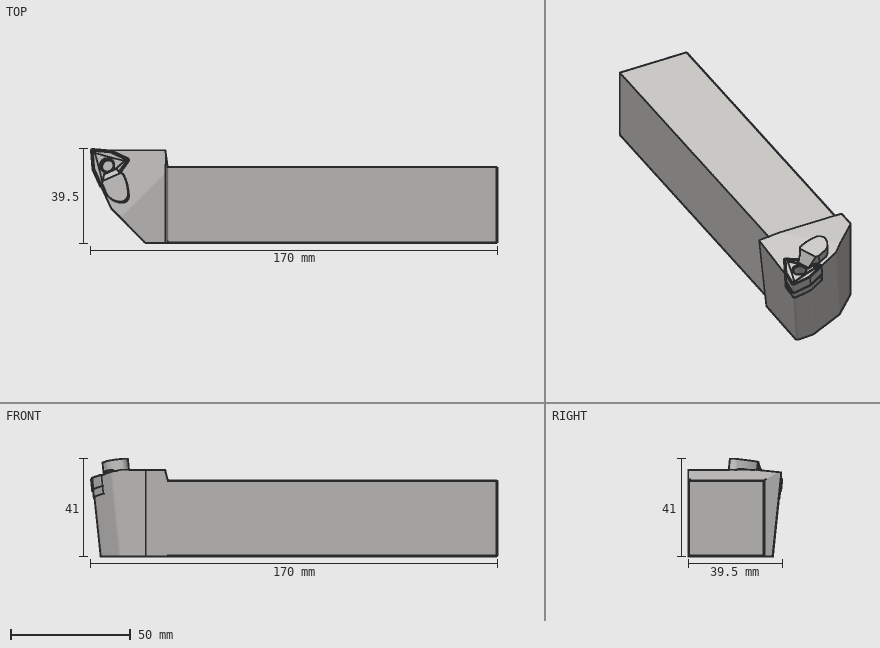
import cadquery as cq
import math

TOTAL_LENGTH = 170.0
SHANK_SIZE = 32.0
SHANK_CHAMFER = 0.5

TOTAL_WIDTH = 39.5
HEAD_HEIGHT = 36.2
CREST_OFFSET = 1.7
HEAD_END_X = 32.1
HEAD_END_SLANT = 1.0
STEP_RADIUS = 0.5
HEAD_TIP = (0.5, 39.0)
HEAD_KNEE = (1.0, 30.8)
HEAD_BEND = (8.7, 14.5)
TIP_RADIUS = 1.0
FLANK_RADIUS = 5.1
OVERRUN = 8.5

TILT = 6.0
INSERT_RISE = 0.2
TIP_DIRECTION = 135.0
SHARP_CORNER = 80.0
CORNER_SPACING = 120.0
INSCRIBED_DIAMETER = 12.8
CORNER_RADIUS = 0.8
INSERT_THICKNESS = 4.8
HOLE_DIAMETER = 5.1
HOLE_CHAMFER = 0.5
BEVEL_ANGLE = 45.0

BREAKER_LAND = 0.5
BREAKER_DEPTH = 0.3
ARM_TIP_RADIUS = 7.5
ARM_ROOT_RADIUS = 4.5
ARM_ROOT_ANGLE = 25.0

SHIM_THICKNESS = 3.2
SHIM_INSET = 0.3
CLAMP_HEIGHT = 5.1
NOSE_DIRECTION = 24.0
NOSE_SETBACK = 3.4
RELIEF_HEIGHT = 1.2

NOSE_LEFT = (5.6, 29.5)
SIDE_BEND = (5.5, 24.0)
ROUND_START = (7.1, 19.9)
ROUND_MIDDLE = (9.7, 17.7)
ROUND_END = (14.0, 16.8)
HEEL_MIDDLE = (15.6, 18.0)
HEEL_END = (16.2, 20.7)
BACK_MIDDLE = (15.5, 24.8)
BACK_END = (14.0, 28.5)
NOSE_SHOULDER = (12.2, 29.2)
NOSE_RIGHT = (10.4, 31.6)

NOSE_FRONT = -2.5
FOOT_BACK = -3.0
RELIEF_FRONT = -5.1
RELIEF_BACK = -13.6
HEEL_FRONT = -16.3

inscribed_radius = INSCRIBED_DIAMETER / 2
half_corner = math.radians(SHARP_CORNER / 2)
corner_arc_reach = (inscribed_radius - CORNER_RADIUS) / math.sin(half_corner)
slope = math.tan(math.radians(TILT))

rake_plane = cq.Plane(origin=(0, 0, 0), xDir=(1, 0, slope), normal=(-slope, slope, 1))


def corner_reach(direction):
    """How far the rounded cutting corner reaches from the insert axis in a direction."""
    along_x = direction.dot(rake_plane.xDir)
    along_y = direction.dot(rake_plane.yDir)
    tip = math.radians(TIP_DIRECTION)
    arc_center = corner_arc_reach * (along_x * math.cos(tip) + along_y * math.sin(tip))
    arc = CORNER_RADIUS * math.hypot(along_x, along_y)
    return arc_center + arc + INSERT_RISE * direction.dot(rake_plane.zDir)


insert_x = corner_reach(cq.Vector(-1, 0, 0))
insert_y = TOTAL_WIDTH - corner_reach(cq.Vector(0, 1, 0))
insert_base_z = HEAD_HEIGHT + slope * (insert_x - insert_y - CREST_OFFSET)


def tilted(height=0.0, turn=0.0):
    """Workplane square to the insert axis, at a height above the tilted top of the head."""
    plane = cq.Plane((insert_x, insert_y, insert_base_z), rake_plane.xDir, rake_plane.zDir)
    return cq.Workplane(plane.rotated((0, 0, turn))).workplane(offset=height)


def local(x, y):
    """A place in plan as an offset from the insert axis."""
    return (x - insert_x, y - insert_y)


def polar(radius, degrees, center=(0, 0)):
    angle = math.radians(degrees)
    return (center[0] + radius * math.cos(angle), center[1] + radius * math.sin(angle))


def rounded_corner(side_distance, corner_angle, radius, direction):
    """Start, middle and end of the arc that rounds a trigon corner."""
    reach = (side_distance - radius) / math.sin(math.radians(corner_angle / 2))
    center = polar(reach, direction)
    arc_half_angle = 90 - corner_angle / 2
    return [polar(radius, direction + turn * arc_half_angle, center) for turn in (-1, 0, 1)]


def trigon(height, thickness, inset=0.0, taper=0.0, blunt_radius=0.0):
    """Trigon plate below a height, its outline moved inwards by inset."""
    side_distance = inscribed_radius - inset
    sharp_radius = CORNER_RADIUS - inset / 2
    blunt_corner = 2 * SHARP_CORNER
    outline = tilted(height)
    for corner in range(3):
        direction = TIP_DIRECTION + CORNER_SPACING * corner
        start, middle, end = rounded_corner(side_distance, SHARP_CORNER, sharp_radius, direction)
        outline = outline.moveTo(*start) if corner == 0 else outline.lineTo(*start)
        outline = outline.threePointArc(middle, end)
        direction += CORNER_SPACING / 2
        start, middle, end = rounded_corner(side_distance, blunt_corner, blunt_radius, direction)
        outline = outline.lineTo(*start)
        if blunt_radius > 0:
            outline = outline.threePointArc(middle, end)
    return outline.close().extrude(-thickness, taper=taper)


def plateau():
    """Star-shaped centre of the chip breaker, level with the cutting edges."""
    points = []
    for corner in range(3):
        direction = TIP_DIRECTION + CORNER_SPACING * corner
        points.append(polar(ARM_ROOT_RADIUS, direction - ARM_ROOT_ANGLE))
        points.append(polar(ARM_TIP_RADIUS, direction))
        points.append(polar(ARM_ROOT_RADIUS, direction + ARM_ROOT_ANGLE))
    return tilted(INSERT_RISE - BREAKER_DEPTH).polyline(points).close().extrude(BREAKER_DEPTH)


def make_insert():
    groove = trigon(INSERT_RISE, BREAKER_DEPTH, BREAKER_LAND, taper=BEVEL_ANGLE).cut(plateau())
    hole = tilted(INSERT_RISE).circle(HOLE_DIAMETER / 2).extrude(-INSERT_THICKNESS)
    countersink = (
        tilted(INSERT_RISE)
        .circle(HOLE_DIAMETER / 2 + HOLE_CHAMFER)
        .extrude(-HOLE_CHAMFER, taper=BEVEL_ANGLE)
    )
    return trigon(INSERT_RISE, INSERT_THICKNESS).cut(groove).cut(hole).cut(countersink)


def make_shank():
    start_x = HEAD_BEND[0] + HEAD_BEND[1]
    bar = cq.Workplane("XY").box(TOTAL_LENGTH - start_x, SHANK_SIZE, SHANK_SIZE, centered=False)
    bar = bar.translate((start_x, 0, 0))
    return bar.edges("(|X and <Y) or >X").chamfer(SHANK_CHAMFER)


def make_head():
    """Block with flanks parallel to the insert axis, trimmed to the upright faces and flat top."""
    flank_depth = HEAD_HEIGHT + OVERRUN
    foot_y = -OVERRUN
    foot_x = HEAD_BEND[0] + HEAD_BEND[1] - foot_y
    far_x = HEAD_END_X + OVERRUN
    outline = [HEAD_TIP, HEAD_KNEE, HEAD_BEND, (foot_x, foot_y), (far_x, foot_y), (far_x, HEAD_TIP[1])]
    flanks = tilted().polyline([local(*point) for point in outline]).close()
    flanks = flanks.extrude(-flank_depth)
    insert_axis = cq.selectors.ParallelDirSelector(rake_plane.zDir)
    for corner, radius in ((HEAD_TIP, TIP_RADIUS), (HEAD_KNEE, FLANK_RADIUS), (HEAD_BEND, FLANK_RADIUS)):
        corner_middle = tilted().plane.toWorldCoords((*local(*corner), -flank_depth / 2))
        nearest = cq.selectors.NearestToPointSelector(corner_middle.toTuple())
        flanks = flanks.edges(insert_axis).edges(nearest).fillet(radius)
    upright = (
        cq.Workplane("XY")
        .polyline(
            [
                (-OVERRUN, 0),
                (HEAD_END_X, 0),
                (HEAD_END_X, SHANK_SIZE),
                (HEAD_END_X - HEAD_END_SLANT, TOTAL_WIDTH),
                (-OVERRUN, TOTAL_WIDTH),
            ]
        )
        .close()
        .extrude(HEAD_HEIGHT)
    )
    step_slope = (
        cq.Workplane("XZ")
        .polyline(
            [
                (HEAD_END_X, SHANK_SIZE),
                (HEAD_END_X, HEAD_HEIGHT),
                (HEAD_END_X - HEAD_END_SLANT, HEAD_HEIGHT),
            ]
        )
        .close()
        .extrude(-TOTAL_WIDTH)
    )
    return flanks.intersect(upright).cut(step_slope)


def clamp_prism(profile):
    """Prism across the clamp; profile points are (distance ahead of the insert axis, height)."""
    across = tilted(INSERT_RISE, NOSE_DIRECTION).plane
    side = cq.Workplane(cq.Plane(across.origin, across.yDir, across.xDir))
    return side.polyline(profile).close().extrude(TOTAL_WIDTH, both=True)


def make_clamp():
    """Oval clamp on the insert and the head, with a sloping nose and a relieved underside."""
    body = (
        tilted(INSERT_RISE + CLAMP_HEIGHT)
        .moveTo(*local(*NOSE_LEFT))
        .lineTo(*local(*SIDE_BEND))
        .lineTo(*local(*ROUND_START))
        .threePointArc(local(*ROUND_MIDDLE), local(*ROUND_END))
        .threePointArc(local(*HEEL_MIDDLE), local(*HEEL_END))
        .threePointArc(local(*BACK_MIDDLE), local(*BACK_END))
        .lineTo(*local(*NOSE_SHOULDER))
        .lineTo(*local(*NOSE_RIGHT))
        .close()
        .extrude(-CLAMP_HEIGHT - INSERT_RISE)
    )
    nose_slope = clamp_prism(
        [
            (NOSE_FRONT, -OVERRUN),
            (NOSE_FRONT, 0),
            (NOSE_FRONT - NOSE_SETBACK, CLAMP_HEIGHT),
            (NOSE_FRONT + OVERRUN, CLAMP_HEIGHT),
            (NOSE_FRONT + OVERRUN, -OVERRUN),
        ]
    )
    relief = clamp_prism(
        [
            (FOOT_BACK, -INSERT_RISE),
            (FOOT_BACK, 0),
            (RELIEF_FRONT, RELIEF_HEIGHT),
            (RELIEF_BACK, RELIEF_HEIGHT),
            (HEEL_FRONT, -INSERT_RISE),
        ]
    )
    return body.cut(nose_slope).cut(relief)


def make_holder():
    pocket = trigon(INSERT_RISE, INSERT_THICKNESS + SHIM_THICKNESS)
    shim = trigon(INSERT_RISE - INSERT_THICKNESS, SHIM_THICKNESS, SHIM_INSET, blunt_radius=FLANK_RADIUS)
    insert_space = trigon(INSERT_RISE, INSERT_THICKNESS)
    step_foot = cq.selectors.NearestToPointSelector((HEAD_END_X, SHANK_SIZE / 2, SHANK_SIZE))
    bar = make_shank().union(make_head()).edges(step_foot).fillet(STEP_RADIUS)
    return bar.cut(pocket).union(shim).union(make_clamp().cut(insert_space))


insert = make_insert()
holder = make_holder()
result = cq.Compound.makeCompound([holder.val(), insert.val()])